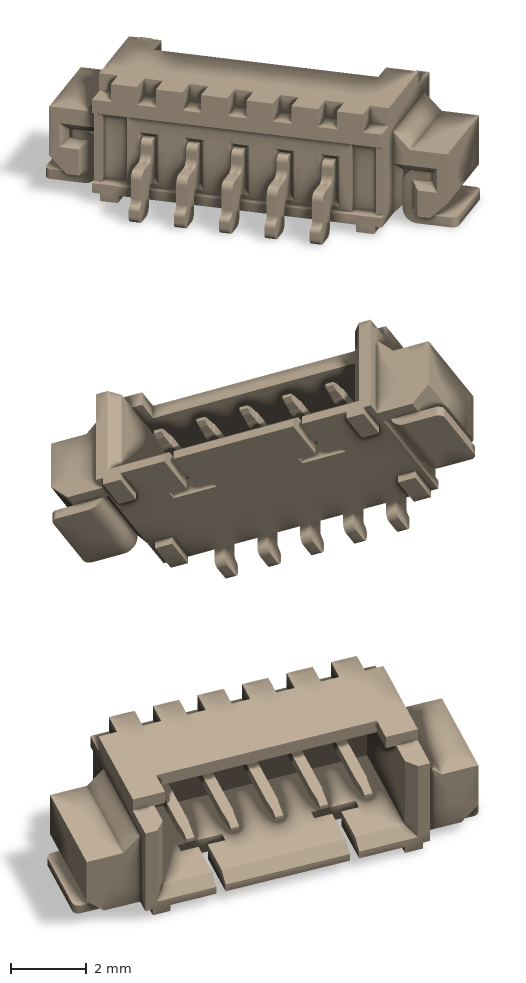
import cadquery as cq
import math


EPS = 0.01

pin_count = 5
pitch = 1.25
pin_width = 0.30
pin_xs = [(i - (pin_count - 1) / 2) * pitch for i in range(pin_count)]

body_half = 4.0
body_depth = 4.2
body_bottom = 0.28
body_top = 3.45
rim_top = 3.05
roof_back = 3.25
roof_gap_half = 3.1
roof_gap_front = 2.57

cavity_half = 3.4
cavity_front = 1.0
cavity_floor = 0.78
lead_in_width = 0.26
lead_in_depth = 0.31

latch_x = 1.5 * pitch
latch_slot_width = 0.26
latch_window_width = pitch
latch_window_back = 2.83

notch_width = 0.52
notch_depth = 0.62
notch_height = 0.51
recess_depth = 0.18
recess_bottom = 0.55
recess_top = 2.56
groove_inner = 3.1
groove_outer = 3.79
groove_depth = 0.20
blade_bottom = 0.79
blade_top = 1.97
slot_flare = 0.12

foot_bottom = 0.07
foot_width = 0.5
foot_length = 0.98

ear_front = 1.0
ear_back = 3.8
ear_outer = 5.5
ear_top = 2.16
ear_slope = 0.47
ear_bottom_chamfer = 0.48
clip_front = 1.2
clip_back = 3.4
clip_thickness = 0.28
clip_inner = 4.2
clip_top = 1.51
clip_hook_end = 5.02
clip_foot_end = 5.7
clip_outer_radius = 0.40
clip_bend_radius = clip_outer_radius - clip_thickness
clip_corner_radius = 0.18
clip_flare = clip_front - ear_front

tail_front = -1.1
tail_face = -0.03
tail_knee = -0.89
tail_leg_inner = -0.27
tail_shoulder = 1.40
tail_radius = 0.21
tail_top_radius = 0.16
toe_radius = 0.20
toe_curve_top = 0.63
toe_curve_bottom = 0.36
heel_radius = 0.20
elbow_radius = 0.20

tip_height = 0.30
tip_shoulder_start = 3.01
tip_taper_start = 3.08
tip_bevel_start = 3.38
tip_end = 3.56
tip_shoulder = 0.015
tip_taper = 0.035
tip_bevel = 0.07


def box(x0, x1, y0, y1, z0, z1):
    return cq.Workplane("XY").box(x1 - x0, y1 - y0, z1 - z0, centered=False).translate((x0, y0, z0))


def both_sides(solid):
    return solid.union(solid.mirror("YZ"))


def rect_at(x_half, y, z0, z1):
    """Closed wire of a rectangle centred on X = 0 in the plane at the given Y."""
    corners = [(-x_half, y, z0), (x_half, y, z0), (x_half, y, z1), (-x_half, y, z1)]
    return cq.Wire.makePolygon([cq.Vector(*c) for c in corners], close=True)


def loft(*wires):
    return cq.Workplane(obj=cq.Solid.makeLoft(list(wires), True))


def make_shell():
    shell = (
        cq.Workplane("YZ")
        .polyline([
            (0, body_bottom), (body_depth, body_bottom), (body_depth, rim_top),
            (roof_back, rim_top), (roof_back, body_top), (0, body_top),
            (0, recess_top), (recess_depth, recess_top),
            (recess_depth, recess_bottom), (0, recess_bottom),
        ])
        .close()
        .extrude(body_half, both=True)
    )
    foot_x = groove_outer - foot_width
    for y in (0, body_depth - foot_length):
        foot = box(foot_x, groove_outer, y, y + foot_length, foot_bottom, body_bottom + EPS)
        shell = shell.union(both_sides(foot))
    return shell


def make_cavity():
    cavity = box(-cavity_half, cavity_half, cavity_front, body_depth, cavity_floor, rim_top)
    mouth = loft(
        rect_at(cavity_half, body_depth - lead_in_depth, cavity_floor, rim_top),
        rect_at(cavity_half + lead_in_width, body_depth, cavity_floor - lead_in_width, rim_top),
    )
    roof_gap = box(-roof_gap_half, roof_gap_half, roof_gap_front, body_depth, rim_top - EPS, body_top)
    return cavity.union(mouth).union(roof_gap)


def make_latch_opening():
    z0, z1 = body_bottom, cavity_floor + EPS
    slot = box(
        latch_x - latch_slot_width / 2, latch_x + latch_slot_width / 2,
        roof_gap_front, body_depth, z0, z1,
    )
    window = box(
        latch_x - latch_window_width / 2, latch_x + latch_window_width / 2,
        roof_gap_front, latch_window_back, z0, z1,
    )
    return both_sides(slot.union(window))


def cut_rear_details(shell):
    notch_xs = pin_xs + [body_half - notch_width / 2, notch_width / 2 - body_half]
    for x in notch_xs:
        half = notch_width / 2
        shell = shell.cut(box(x - half, x + half, 0, notch_depth, body_top - notch_height, body_top))
    groove = box(
        groove_inner, groove_outer, recess_depth, recess_depth + groove_depth, recess_bottom, recess_top
    )
    shell = shell.cut(both_sides(groove))
    funnel = loft(
        rect_at(pin_width / 2 + slot_flare, recess_depth, blade_bottom - slot_flare, blade_top + slot_flare),
        rect_at(pin_width / 2, recess_depth + slot_flare, blade_bottom, blade_top),
    )
    for x in pin_xs:
        shell = shell.cut(funnel.translate((x, 0, 0)))
    return shell


def make_pin():
    """Solder tail, blade held in the rear wall and tapered contact tip."""
    arc_inset = 1 - math.sqrt(0.5)
    top_arc = tail_top_radius * arc_inset
    knee_arc = tail_radius * arc_inset
    toe_arc = toe_radius * arc_inset
    heel_arc = heel_radius * arc_inset
    elbow_arc = elbow_radius * arc_inset
    toe_curve_middle = ((tail_knee + tail_front) / 2, (toe_curve_top + toe_curve_bottom) / 2)
    blade = (
        cq.Workplane("YZ")
        .moveTo(cavity_front, blade_bottom)
        .lineTo(cavity_front, blade_top)
        .lineTo(tail_face + tail_top_radius, blade_top)
        .threePointArc((tail_face + top_arc, blade_top - top_arc), (tail_face, blade_top - tail_top_radius))
        .lineTo(tail_face, tail_shoulder + tail_radius)
        .threePointArc(
            (tail_face - knee_arc, tail_shoulder + knee_arc), (tail_face - tail_radius, tail_shoulder)
        )
        .lineTo(tail_knee + tail_radius, tail_shoulder)
        .threePointArc(
            (tail_knee + knee_arc, tail_shoulder - knee_arc), (tail_knee, tail_shoulder - tail_radius)
        )
        .lineTo(tail_knee, toe_curve_top)
        .tangentArcPoint(toe_curve_middle, relative=False)
        .tangentArcPoint((tail_front, toe_curve_bottom), relative=False)
        .lineTo(tail_front, toe_radius)
        .threePointArc((tail_front + toe_arc, toe_arc), (tail_front + toe_radius, 0))
        .lineTo(tail_leg_inner - heel_radius, 0)
        .threePointArc((tail_leg_inner - heel_arc, heel_arc), (tail_leg_inner, heel_radius))
        .lineTo(tail_leg_inner, blade_bottom - elbow_radius)
        .threePointArc(
            (tail_leg_inner + elbow_arc, blade_bottom - elbow_arc),
            (tail_leg_inner + elbow_radius, blade_bottom),
        )
        .close()
        .extrude(pin_width)
        .translate((-pin_width / 2, 0, 0))
    )
    half = pin_width / 2
    z0, z1 = blade_top - tip_height, blade_top
    stem = box(-half, half, cavity_front - EPS, tip_shoulder_start, z0, z1)
    taper_half = half - tip_taper
    bevel_inset = tip_taper + tip_bevel
    sections = [
        rect_at(half, tip_shoulder_start, z0, z1),
        rect_at(half - tip_shoulder, tip_taper_start, z0 + tip_shoulder, z1 - tip_shoulder),
        rect_at(taper_half, tip_bevel_start, z0 + tip_taper, z1 - tip_taper),
        rect_at(taper_half, tip_end, z0 + bevel_inset, z1 - bevel_inset),
    ]
    pin = blade.union(stem)
    for near, far in zip(sections, sections[1:]):
        pin = pin.union(loft(near, far))
    return pin


def make_ear():
    """Right-hand ear with a clip opening that flares at its rear and bottom faces."""
    ear = (
        cq.Workplane("XZ")
        .polyline([
            (body_half - EPS, body_bottom), (ear_outer - ear_bottom_chamfer, body_bottom),
            (ear_outer, body_bottom + ear_bottom_chamfer), (ear_outer, ear_top),
            (body_half + ear_slope, ear_top), (body_half, ear_top + ear_slope),
            (body_half - EPS, ear_top + ear_slope),
        ])
        .close()
        .extrude(-(ear_back - ear_front))
        .translate((0, ear_front, 0))
    )

    def opening_wire(y, grow):
        left, right = clip_inner - grow, clip_inner + clip_thickness + grow
        top, ledge = clip_top + grow, clip_top - clip_thickness - grow
        end = clip_hook_end + grow
        corners = [
            (left, body_bottom), (right, body_bottom), (right, ledge),
            (end, ledge), (end, top), (left, top),
        ]
        return cq.Wire.makePolygon([cq.Vector(x, y, z) for x, z in corners], close=True)

    flare = loft(opening_wire(ear_front, clip_flare), opening_wire(clip_front, 0))
    straight = loft(opening_wire(clip_front, 0), opening_wire(clip_back, 0))
    outer_x = clip_inner + clip_thickness
    bottom_flare = (
        cq.Workplane("XZ")
        .polyline([
            (clip_inner - clip_flare, body_bottom), (outer_x + clip_flare, body_bottom),
            (outer_x, body_bottom + clip_flare), (clip_inner, body_bottom + clip_flare),
        ])
        .close()
        .extrude(-(clip_back - ear_front))
        .translate((0, ear_front, 0))
    )
    return ear.cut(flare).cut(straight).cut(bottom_flare)


def make_clip():
    """Right-hand solder clip: a bent strip with a hook in the ear and a foot on the board."""
    outer_x = clip_inner + clip_thickness
    clip = (
        cq.Workplane("XZ")
        .polyline([
            (clip_inner, 0), (clip_foot_end, 0), (clip_foot_end, clip_thickness),
            (outer_x, clip_thickness), (outer_x, clip_top - clip_thickness),
            (clip_hook_end, clip_top - clip_thickness), (clip_hook_end, clip_top), (clip_inner, clip_top),
        ])
        .close()
        .extrude(-(clip_back - clip_front))
        .translate((0, clip_front, 0))
    )
    outer_bends = cq.selectors.BoxSelector(
        (clip_inner - EPS, 0, -EPS), (clip_inner + EPS, body_depth, clip_top + EPS)
    )
    clip = clip.edges("|Y").edges(outer_bends).fillet(clip_outer_radius)
    inner_bends = cq.selectors.BoxSelector(
        (outer_x - EPS, 0, clip_thickness - EPS), (outer_x + EPS, body_depth, clip_top)
    )
    clip = clip.edges("|Y").edges(inner_bends).fillet(clip_bend_radius)
    free_ends = cq.selectors.BoxSelector(
        (clip_hook_end - EPS, 0, -EPS), (clip_foot_end + EPS, body_depth, clip_top + EPS)
    )
    return clip.edges("|Z").edges(free_ends).fillet(clip_corner_radius)


housing = make_shell().cut(make_cavity()).cut(make_latch_opening())
housing = cut_rear_details(housing)
result = housing.union(both_sides(make_ear())).union(both_sides(make_clip()))
pin = make_pin()
for pin_x in pin_xs:
    result = result.union(pin.translate((pin_x, 0, 0)))